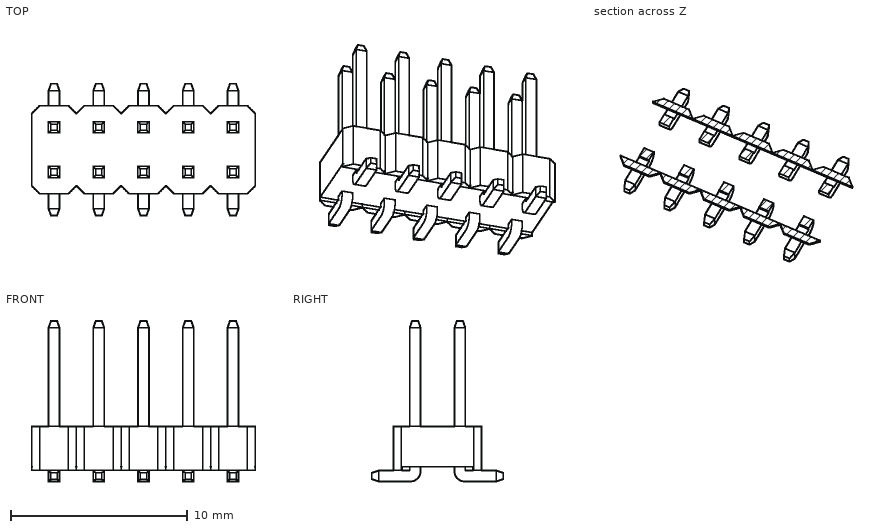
import cadquery as cq

columns = 5
pitch = 2.54

pin_side = 0.64
tip_length = 0.41
tip_side = 0.35
bend_radius = 0.6

body_width = 5.02
body_height = 2.5
corner_cut = 0.46
groove_width = 4.02
groove_depth = 0.2

overall_width = 7.5
overall_height = 9.14

body_length = columns * pitch
body_bottom = pin_side
row_y = pitch / 2
column_positions = [(i - (columns - 1) / 2) * pitch for i in range(columns)]


def make_cell(x):
    """One pin cell of the body: a block with its four upright corners cut off."""
    return (
        cq.Workplane("XY", origin=(x, 0, body_bottom))
        .rect(pitch, body_width)
        .extrude(body_height)
        .edges("|Z")
        .chamfer(corner_cut)
    )


def make_body():
    """All pin cells joined in a row, with a groove along the underside."""
    body = make_cell(column_positions[0])
    for x in column_positions[1:]:
        body = body.union(make_cell(x))
    groove = (
        cq.Workplane("XY", origin=(0, 0, body_bottom))
        .rect(body_length, groove_width)
        .extrude(groove_depth)
    )
    return body.cut(groove)


def make_taper(base_plane):
    """Pyramid-shaped pin end that grows from the given plane along its normal."""
    return (
        cq.Workplane(base_plane)
        .rect(pin_side, pin_side)
        .workplane(offset=tip_length)
        .rect(tip_side, tip_side)
        .loft(ruled=True)
    )


def make_pin():
    """L-shaped pin of the front row (-Y), centred on X = 0."""
    inner_y = -row_y + pin_side / 2
    outer_y = -row_y - pin_side / 2
    post_top = overall_height - tip_length
    foot_end = -overall_width / 2 + tip_length

    wire = (
        cq.Workplane("YZ", origin=(-pin_side / 2, 0, 0))
        .moveTo(foot_end, 0)
        .lineTo(inner_y - bend_radius, 0)
        .radiusArc((inner_y, bend_radius), -bend_radius)
        .lineTo(inner_y, post_top)
        .lineTo(outer_y, post_top)
        .lineTo(outer_y, pin_side)
        .lineTo(foot_end, pin_side)
        .close()
        .extrude(pin_side)
    )
    post_tip = make_taper(cq.Plane(origin=(0, -row_y, post_top), xDir=(1, 0, 0), normal=(0, 0, 1)))
    foot_tip = make_taper(cq.Plane(origin=(0, foot_end, pin_side / 2), xDir=(1, 0, 0), normal=(0, -1, 0)))
    return wire.union(post_tip).union(foot_tip)


front_pin = make_pin()
back_pin = front_pin.mirror("XZ")

result = make_body()
for column_x in column_positions:
    for pin in (front_pin, back_pin):
        result = result.union(pin.translate((column_x, 0, 0)))